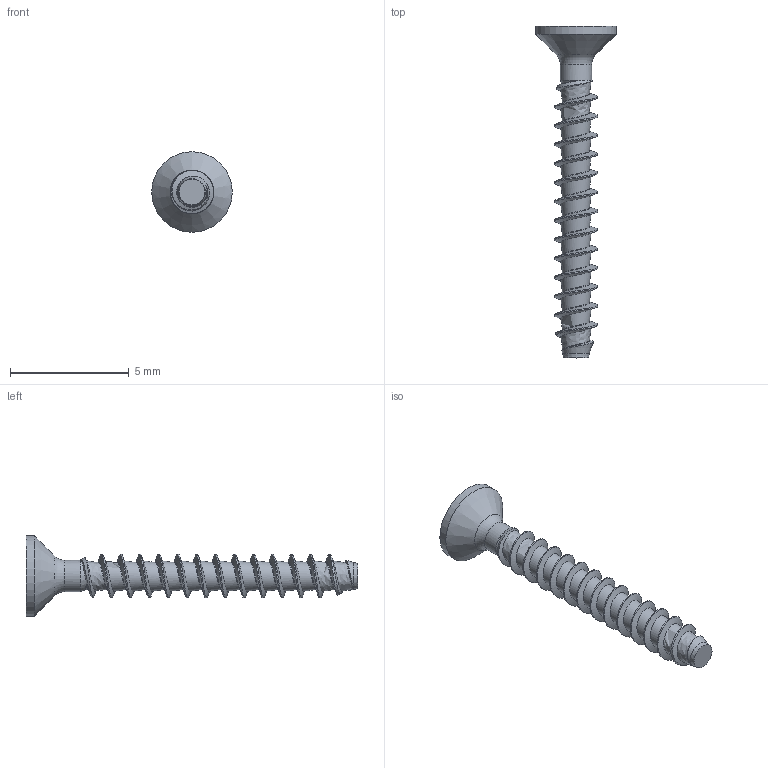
import math

import cadquery as cq


screw_length = 14.0
head_radius = 1.7
rim_height = 0.35
countersink_angle = 45.0

shank_radius = 0.66
neck_blend_radius = 0.6
shank_end_depth = 2.29

core_radius = 0.57
core_step_length = 0.3
core_step_end_radius = 0.55
core_top_depth = 1.0
tip_radius = 0.54

pitch = 0.8
crest_radius = 0.915
crest_width = 0.05
head_side_base_offset = 0.12
tip_side_base_offset = 0.11
ramp_start_radius = 0.645
ramp_end_offset = 0.675
ramp_end_radius = 0.565
ridge_sunk_radius = 0.5

helix_start_depth = 14.2
helix_turns = 15.4

envelope_clearance = 0.05
envelope_radius = crest_radius + envelope_clearance
fade_in_start_radius = 0.7
fade_in_depth = 3.0
fade_out_depth = 12.7
fade_out_end_depth = 13.8
fade_out_end_radius = 0.56


def make_head_and_shank():
    """Countersunk head, blended neck and plain shank, ending in a short step down to the core."""
    slope = math.radians(countersink_angle)
    blend_center_radius = shank_radius + neck_blend_radius
    blend_top_radius = blend_center_radius - neck_blend_radius * math.cos(slope)
    blend_top_depth = rim_height + (head_radius - blend_top_radius) / math.tan(slope)
    blend_end_depth = blend_top_depth + neck_blend_radius * math.sin(slope)
    blend_mid_radius = blend_center_radius - neck_blend_radius * math.cos(slope / 2)
    blend_mid_depth = blend_end_depth - neck_blend_radius * math.sin(slope / 2)

    return (
        cq.Workplane("YZ")
        .moveTo(0, 0)
        .lineTo(head_radius, 0)
        .lineTo(head_radius, -rim_height)
        .lineTo(blend_top_radius, -blend_top_depth)
        .threePointArc((blend_mid_radius, -blend_mid_depth), (shank_radius, -blend_end_depth))
        .lineTo(shank_radius, -shank_end_depth)
        .lineTo(core_step_end_radius, -(shank_end_depth + core_step_length))
        .lineTo(0, -(shank_end_depth + core_step_length))
        .close()
        .revolve(360, (0, 0, 0), (0, 1, 0))
    )


def make_ridge():
    """Right-handed thread ridge, swept along a helix that overruns both ends."""
    helix = cq.Wire.makeHelix(
        pitch, pitch * helix_turns, core_radius, center=cq.Vector(0, 0, -helix_start_depth)
    )
    return (
        cq.Workplane("XZ", origin=(0, 0, -helix_start_depth))
        .moveTo(ridge_sunk_radius, head_side_base_offset)
        .lineTo(ramp_end_radius, head_side_base_offset)
        .lineTo(crest_radius, crest_width / 2)
        .lineTo(crest_radius, -crest_width / 2)
        .lineTo(ramp_start_radius, -tip_side_base_offset)
        .lineTo(ramp_end_radius, -ramp_end_offset)
        .lineTo(ridge_sunk_radius, -ramp_end_offset)
        .close()
        .sweep(cq.Workplane(helix), isFrenet=True)
    )


def make_thread_envelope():
    """Revolved limit of the thread, tapered at both ends."""
    return (
        cq.Workplane("YZ")
        .moveTo(0, -shank_end_depth)
        .lineTo(fade_in_start_radius, -shank_end_depth)
        .lineTo(envelope_radius, -fade_in_depth)
        .lineTo(envelope_radius, -fade_out_depth)
        .lineTo(fade_out_end_radius, -fade_out_end_depth)
        .lineTo(tip_radius, -screw_length)
        .lineTo(0, -screw_length)
        .close()
        .revolve(360, (0, 0, 0), (0, 1, 0))
    )


def make_core():
    """Plain cylinder under the thread, overrunning both ends until it is trimmed."""
    bottom_depth = helix_start_depth + pitch
    core = cq.Workplane("XY", origin=(0, 0, -bottom_depth)).circle(core_radius)
    return core.extrude(bottom_depth - core_top_depth)


threaded_part = make_core().union(make_ridge()).intersect(make_thread_envelope())
screw = make_head_and_shank().union(threaded_part)

result = screw.rotate((0, 0, 0), (1, 0, 0), -90)